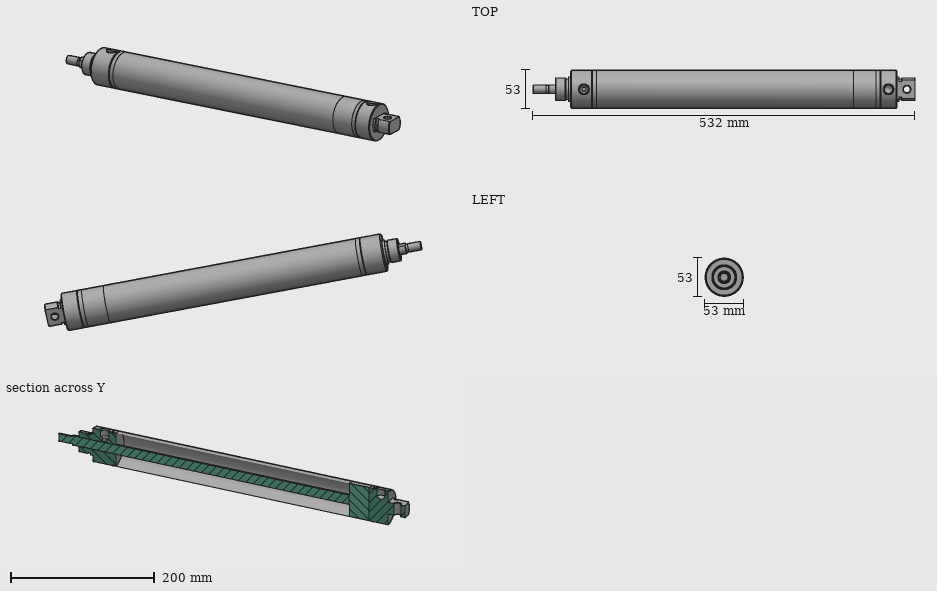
import cadquery as cq
import math


TOTAL_LENGTH = 532.0
BODY_DIAMETER = 53.0
HEAD_FACE_X = 52.0
TUBE_FRONT_X = 82.5
TUBE_REAR_X = 483.0
CAP_FACE_X = 506.5
TUBE_WALL = 1.0
HEAD_CHAMFER = 1.5
CAP_CHAMFER = 1.0
JOINT_CHAMFER = TUBE_WALL

STUD_DIAMETER = 12.0
STUD_LENGTH = 18.0
STUD_CHAMFER = 0.5
NECK_DIAMETER = 11.5
NECK_LENGTH = 3.0
ROD_DIAMETER = 15.5
ROD_CHAMFER = 0.5
FLAT_LENGTH = 10.0
FLAT_WIDTH = STUD_DIAMETER

NOSE_DIAMETER = 32.0
NOSE_FACE_X = 31.0
NOSE_CHAMFER = 1.0
BORE_CHAMFER = 1.0
RELIEF_DIAMETER = 28.5
RELIEF_LENGTH = 3.0
COLLAR_DIAMETER = 34.5
COLLAR_LENGTH = 3.0

LUG_DIAMETER = NOSE_DIAMETER
LUG_THICKNESS = 19.0
LUG_CHAMFER = 1.0
LUG_HOLE_DIAMETER = 9.5
LUG_HOLE_CHAMFER = 0.8
LUG_HOLE_X = 520.0

HEAD_PORT_X = 70.5
CAP_PORT_X = 494.5
PORT_DIAMETER = 11.5
PORT_MOUTH_DIAMETER = 15.0
PORT_TIP_ANGLE = 118
PORT_DEPTH = 11.5
PASSAGE_DIAMETER = 6.0

HEAD_PLUG_LENGTH = 6.0
CAP_PLUG_LENGTH = 6.0
PISTON_LENGTH = 31.0

BODY_RADIUS = BODY_DIAMETER / 2
PORT_MOUTH_SAG = BODY_RADIUS - math.sqrt(BODY_RADIUS**2 - (PORT_MOUTH_DIAMETER / 2) ** 2)
BORE_DIAMETER = BODY_DIAMETER - 2 * TUBE_WALL
HEAD_PLUG_X = TUBE_FRONT_X + HEAD_PLUG_LENGTH
CAP_PLUG_X = TUBE_REAR_X - CAP_PLUG_LENGTH
PISTON_X = CAP_PLUG_X - PISTON_LENGTH
COLLAR_X = HEAD_FACE_X - COLLAR_LENGTH
RELIEF_X = COLLAR_X - RELIEF_LENGTH
SHOULDER_X = STUD_LENGTH + NECK_LENGTH
CAP_COLLAR_END_X = CAP_FACE_X + COLLAR_LENGTH
LUG_X = CAP_COLLAR_END_X + RELIEF_LENGTH


def cylinder(start_x, end_x, diameter):
    """Round bar along X between two stations."""
    return cq.Workplane("YZ").workplane(offset=start_x).circle(diameter / 2).extrude(end_x - start_x)


def spindle(half_section):
    """Solid turned about the Z axis from (radius, Z) points."""
    return cq.Workplane("XZ").polyline(half_section).close().revolve(360, (0, 0), (0, 1))


def port_hole(center_x):
    """Blind port drilled from the top of the body: chamfered mouth and conical floor."""
    radius = PORT_DIAMETER / 2
    mouth_radius = PORT_MOUTH_DIAMETER / 2
    floor_z = BODY_RADIUS - PORT_DEPTH
    chamfer_z = BODY_RADIUS - PORT_MOUTH_SAG - (mouth_radius - radius)
    tip_z = floor_z - radius / math.tan(math.radians(PORT_TIP_ANGLE / 2))
    half_section = [
        (0, tip_z),
        (radius, floor_z),
        (radius, chamfer_z),
        (mouth_radius, chamfer_z + mouth_radius - radius),
        (mouth_radius, BODY_RADIUS),
        (0, BODY_RADIUS),
    ]
    return spindle(half_section).translate((center_x, 0, 0))


def make_rod():
    """Rod from the stud tip to the piston, with two wrench flats."""
    stud = cylinder(0, STUD_LENGTH, STUD_DIAMETER).faces("<X").chamfer(STUD_CHAMFER)
    neck = cylinder(STUD_LENGTH, SHOULDER_X, NECK_DIAMETER)
    shank = cylinder(SHOULDER_X, PISTON_X, ROD_DIAMETER).faces("<X").chamfer(ROD_CHAMFER)
    flat_zone = cq.Workplane("XY").box(FLAT_LENGTH, ROD_DIAMETER, ROD_DIAMETER)
    flat_core = cq.Workplane("XY").box(FLAT_LENGTH, FLAT_WIDTH, ROD_DIAMETER)
    flat_cut = flat_zone.cut(flat_core).translate((SHOULDER_X + FLAT_LENGTH / 2, 0, 0))
    return stud.union(neck).union(shank.cut(flat_cut))


def rod_bore():
    """Bore through the head for the rod, chamfered at the nose face."""
    radius = ROD_DIAMETER / 2
    half_section = [
        (NOSE_FACE_X, 0),
        (NOSE_FACE_X, radius + BORE_CHAMFER),
        (NOSE_FACE_X + BORE_CHAMFER, radius),
        (HEAD_PLUG_X, radius),
        (HEAD_PLUG_X, 0),
    ]
    return cq.Workplane("XY").polyline(half_section).close().revolve(360, (0, 0), (1, 0))


def make_head():
    """Front head: nose, body block, plug inside the tube, air port and rod bore."""
    nose = cylinder(NOSE_FACE_X, RELIEF_X, NOSE_DIAMETER).faces("<X or >X").chamfer(NOSE_CHAMFER)
    relief = cylinder(RELIEF_X, COLLAR_X, RELIEF_DIAMETER)
    collar = cylinder(COLLAR_X, HEAD_FACE_X, COLLAR_DIAMETER)
    block = (
        cylinder(HEAD_FACE_X, TUBE_FRONT_X, BODY_DIAMETER)
        .faces("<X").chamfer(HEAD_CHAMFER)
        .faces(">X").chamfer(JOINT_CHAMFER)
    )
    plug = cylinder(TUBE_FRONT_X, HEAD_PLUG_X, BORE_DIAMETER)
    head = nose.union(relief).union(collar).union(block).union(plug)
    passage = cq.Workplane("XY").center(HEAD_PORT_X, 0).circle(PASSAGE_DIAMETER / 2).extrude(BODY_RADIUS)
    return head.cut(port_hole(HEAD_PORT_X)).cut(passage).cut(rod_bore())


def make_tube():
    """Thin tube between the head and the cap."""
    outside = cylinder(TUBE_FRONT_X, TUBE_REAR_X, BODY_DIAMETER)
    return outside.cut(cylinder(TUBE_FRONT_X, TUBE_REAR_X, BORE_DIAMETER))


def make_piston():
    """Piston resting against the cap plug, with the rod meeting its front face."""
    return cylinder(PISTON_X, CAP_PLUG_X, BORE_DIAMETER)


def pin_hole():
    """Vertical pin hole, widened by a chamfer at each flat of the lug."""
    radius = LUG_HOLE_DIAMETER / 2
    mouth_radius = radius + LUG_HOLE_CHAMFER
    half_thickness = LUG_THICKNESS / 2
    chamfer_z = half_thickness - LUG_HOLE_CHAMFER
    half_section = [
        (0, -half_thickness),
        (mouth_radius, -half_thickness),
        (radius, -chamfer_z),
        (radius, chamfer_z),
        (mouth_radius, half_thickness),
        (0, half_thickness),
    ]
    return spindle(half_section).translate((LUG_HOLE_X, 0, 0))


def make_lug():
    """Necked lug with two flat sides and a vertical pin hole, chamfered at both mouths."""
    collar = cylinder(CAP_FACE_X, CAP_COLLAR_END_X, COLLAR_DIAMETER)
    relief = cylinder(CAP_COLLAR_END_X, LUG_X, RELIEF_DIAMETER)
    tongue = cylinder(LUG_X, TOTAL_LENGTH, LUG_DIAMETER).faces("<X or >X").chamfer(LUG_CHAMFER)
    round_lug = collar.union(relief).union(tongue)

    length = TOTAL_LENGTH - CAP_FACE_X
    slab = (
        cq.Workplane("XY")
        .box(length, COLLAR_DIAMETER, LUG_THICKNESS)
        .translate((CAP_FACE_X + length / 2, 0, 0))
    )
    return round_lug.intersect(slab).cut(pin_hole())


def make_cap():
    """Rear cap: body block, plug inside the tube, lug and air port."""
    block = (
        cylinder(TUBE_REAR_X, CAP_FACE_X, BODY_DIAMETER)
        .faces(">X").chamfer(CAP_CHAMFER)
        .faces("<X").chamfer(JOINT_CHAMFER)
    )
    plug = cylinder(CAP_PLUG_X, TUBE_REAR_X, BORE_DIAMETER)
    return block.union(plug).union(make_lug()).cut(port_hole(CAP_PORT_X))


rod = make_rod()
head = make_head()
tube = make_tube()
piston = make_piston()
cap = make_cap()

result = cq.Compound.makeCompound([
    rod.solids().val(),
    head.solids().val(),
    tube.solids().val(),
    piston.solids().val(),
    cap.solids().val(),
])